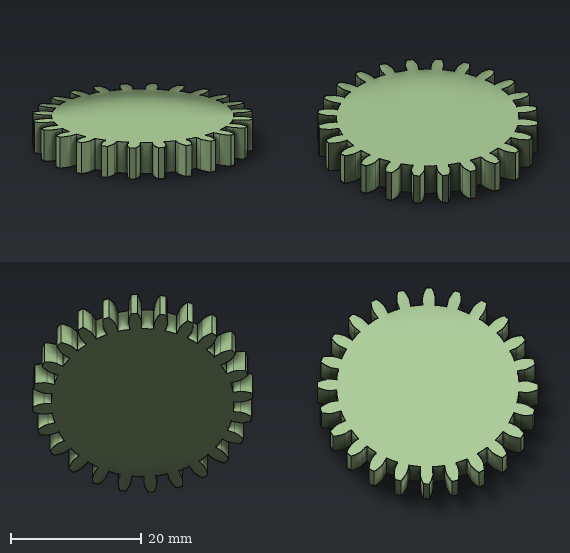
import cadquery as cq
import math

OUTER_SIZE = 33.85
THICKNESS = 5.0
TOOTH_COUNT = 24
PRESSURE_ANGLE = math.radians(14.5)
ADDENDUM_FACTOR = 1.0
DEDENDUM_FACTOR = 1.25
FLANK_STEPS = 8

PITCH_ANGLE = 2 * math.pi / TOOTH_COUNT
HALF_TOOTH_ANGLE = PITCH_ANGLE / 4
FIRST_TOOTH_ANGLE = -HALF_TOOTH_ANGLE

TIP_TO_PITCH = 1 + 2 * ADDENDUM_FACTOR / TOOTH_COUNT
TIP_ROLL = math.sqrt((TIP_TO_PITCH / math.cos(PRESSURE_ANGLE)) ** 2 - 1)
TIP_SWEEP = TIP_ROLL - math.atan(TIP_ROLL)

TIP_RADIUS = OUTER_SIZE / 2 / math.cos(TIP_SWEEP)
PITCH_RADIUS = TIP_RADIUS / TIP_TO_PITCH
BASE_RADIUS = PITCH_RADIUS * math.cos(PRESSURE_ANGLE)
MODULE = 2 * PITCH_RADIUS / TOOTH_COUNT
ROOT_RADIUS = PITCH_RADIUS - DEDENDUM_FACTOR * MODULE


def polar(radius, angle):
    return (radius * math.cos(angle), radius * math.sin(angle))


def flank_points(center_angle, side):
    """Involute from base circle to tip; side is -1 (clockwise flank) or +1."""
    points = []
    for step in range(FLANK_STEPS + 1):
        roll = TIP_ROLL * step / FLANK_STEPS
        radius = BASE_RADIUS * math.hypot(1, roll)
        sweep = roll - math.atan(roll)
        points.append(polar(radius, center_angle + side * (HALF_TOOTH_ANGLE - sweep)))
    return points


def add_tooth(outline, center_angle):
    """Add one tooth and the root arc that follows it, counter-clockwise."""
    rising = flank_points(center_angle, -1)
    falling = flank_points(center_angle, 1)[::-1]
    root_end = center_angle + HALF_TOOTH_ANGLE
    next_root = center_angle + PITCH_ANGLE - HALF_TOOTH_ANGLE
    gap_middle = center_angle + PITCH_ANGLE / 2
    outline = outline.lineTo(*rising[0])
    outline = outline.spline(rising[1:], includeCurrent=True)
    outline = outline.threePointArc(polar(TIP_RADIUS, center_angle), falling[0])
    outline = outline.spline(falling[1:], includeCurrent=True)
    outline = outline.lineTo(*polar(ROOT_RADIUS, root_end))
    return outline.threePointArc(polar(ROOT_RADIUS, gap_middle), polar(ROOT_RADIUS, next_root))


def make_gear():
    start = polar(ROOT_RADIUS, FIRST_TOOTH_ANGLE - HALF_TOOTH_ANGLE)
    outline = cq.Workplane("XY").moveTo(*start)
    for tooth in range(TOOTH_COUNT):
        outline = add_tooth(outline, FIRST_TOOTH_ANGLE + tooth * PITCH_ANGLE)
    return outline.close().extrude(THICKNESS)


result = make_gear()